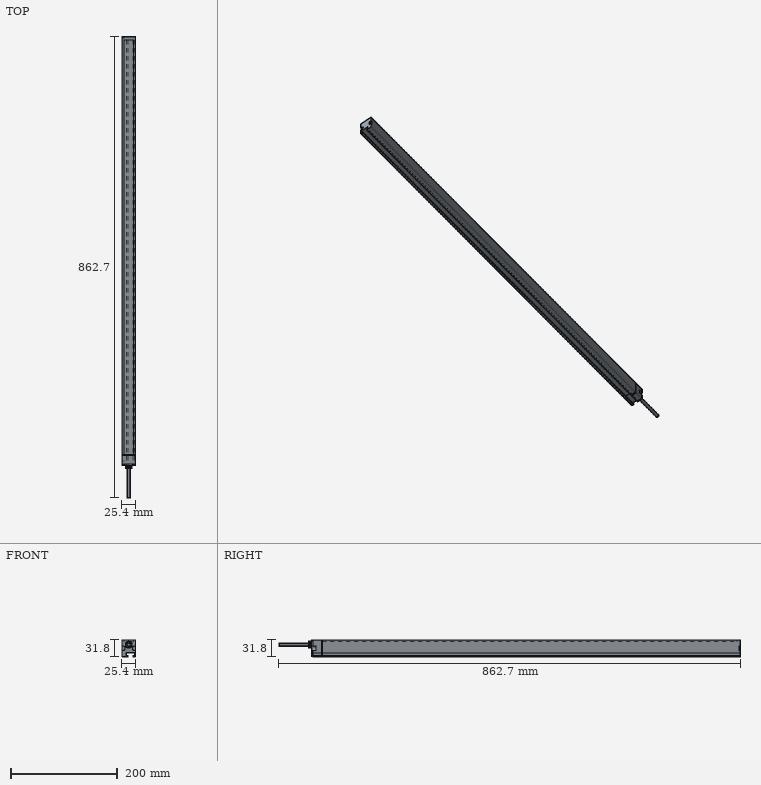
import cadquery as cq

WIDTH = 25.4
HEIGHT = 31.75
TOTAL_LENGTH = 862.69
EDGE_RADIUS = 1.0

CABLE_LENGTH = 55.0
GLAND_LENGTH = 5.8
CAP_LENGTH = 20.5
REAR_Y = TOTAL_LENGTH / 2
CABLE_TIP_Y = -TOTAL_LENGTH / 2
GLAND_FRONT_Y = CABLE_TIP_Y + CABLE_LENGTH
CAP_FRONT_Y = GLAND_FRONT_Y + GLAND_LENGTH
CAP_REAR_Y = CAP_FRONT_Y + CAP_LENGTH

SHOULDER_LENGTH = 2.2
SHOULDER_STEP = 0.25

WINDOW_WIDTH = 18.5
WINDOW_THICKNESS = 3.0
REAR_RIM = 6.0

SLOT_CENTER_X = 3.3
SLOT_MOUTH_WIDTH = 9.5
SLOT_INNER_WIDTH = 15.2
SLOT_LIP = 2.2
SLOT_DEPTH = 7.5

CABLE_Z = 6.8
CABLE_RADIUS = 3.0
GLAND_RADIUS = 6.4
GLAND_GROOVE_WIDTH = 2.0
GLAND_GROOVE_DEPTH = 1.0

SCOOP_RADIUS = 4.2
SCOOP_INSET = 1.5
SCOOP_X = WIDTH / 2 - SCOOP_INSET
FRONT_SCOOP_DEPTH = 8.0
REAR_SCOOP_DEPTH = 2.6

SIDES = (-1, 1)


def cylinder_along_y(radius, x, z, y_start, y_end):
    """Round bar parallel to Y, from y_start up to y_end."""
    return (
        cq.Workplane("XZ", origin=(x, y_start, z))
        .circle(radius)
        .extrude(y_start - y_end)
    )


def block_along_y(width, z_bottom, z_top, y_start, y_end, x=0):
    """Rectangular bar parallel to Y, centred on x."""
    return (
        cq.Workplane("XY", origin=(x, (y_start + y_end) / 2, z_bottom))
        .rect(width, y_end - y_start)
        .extrude(z_top - z_bottom)
    )


def bar_section(y_start, y_end, inset=0):
    """Length of the rounded bar without its T-slot, its four sides set in by inset."""
    half_height = HEIGHT / 2 - inset
    bar = block_along_y(WIDTH - 2 * inset, -half_height, half_height, y_start, y_end)
    return bar.edges("|Y").fillet(EDGE_RADIUS)


def t_slot(y_start, y_end):
    """Volume of the T-slot: a narrow mouth opening into a wider channel."""
    bottom = -HEIGHT / 2
    top = bottom + SLOT_DEPTH
    mouth = block_along_y(SLOT_MOUTH_WIDTH, bottom, top, y_start, y_end, SLOT_CENTER_X)
    channel = block_along_y(SLOT_INNER_WIDTH, bottom + SLOT_LIP, top, y_start, y_end, SLOT_CENTER_X)
    return mouth.union(channel)


def cut_scoops(body, y_start, y_end):
    """Cut the round scoop out of both side faces."""
    for side in SIDES:
        body = body.cut(cylinder_along_y(SCOOP_RADIUS, side * SCOOP_X, 0, y_start, y_end))
    return body


def make_window():
    """Flat window, flush with the top of the housing."""
    return block_along_y(
        WINDOW_WIDTH, HEIGHT / 2 - WINDOW_THICKNESS, HEIGHT / 2, CAP_REAR_Y, REAR_Y - REAR_RIM
    )


def make_housing(window):
    """Long housing with the window pocket, T-slot and rear scoops."""
    housing = bar_section(CAP_REAR_Y, REAR_Y)
    housing = housing.cut(window).cut(t_slot(CAP_REAR_Y, REAR_Y))
    return cut_scoops(housing, REAR_Y - REAR_SCOOP_DEPTH, REAR_Y)


def make_gland():
    """Round cable gland: two rings with a shallow groove between them."""
    core = cylinder_along_y(
        GLAND_RADIUS - GLAND_GROOVE_DEPTH, 0, CABLE_Z, GLAND_FRONT_Y, CAP_FRONT_Y
    )
    ring_length = (GLAND_LENGTH - GLAND_GROOVE_WIDTH) / 2
    front_ring = cylinder_along_y(
        GLAND_RADIUS, 0, CABLE_Z, GLAND_FRONT_Y, GLAND_FRONT_Y + ring_length
    )
    rear_ring = cylinder_along_y(
        GLAND_RADIUS, 0, CABLE_Z, CAP_FRONT_Y - ring_length, CAP_FRONT_Y
    )
    return core.union(front_ring).union(rear_ring)


def make_cable_cap():
    """Front end cap, in one piece with the cable gland and the cable."""
    cap = bar_section(CAP_FRONT_Y, CAP_REAR_Y, SHOULDER_STEP)
    cap = cap.union(bar_section(CAP_FRONT_Y + SHOULDER_LENGTH, CAP_REAR_Y - SHOULDER_LENGTH))
    cap = cap.cut(t_slot(CAP_FRONT_Y, CAP_REAR_Y))
    cap = cut_scoops(cap, CAP_FRONT_Y, CAP_FRONT_Y + FRONT_SCOOP_DEPTH)
    gland = make_gland()
    cable = cylinder_along_y(CABLE_RADIUS, 0, CABLE_Z, CABLE_TIP_Y, GLAND_FRONT_Y)
    return cap.union(gland).union(cable)


window = make_window()
housing = make_housing(window)
cable_cap = make_cable_cap()

result = cq.Compound.makeCompound([housing.val(), window.val(), cable_cap.val()])